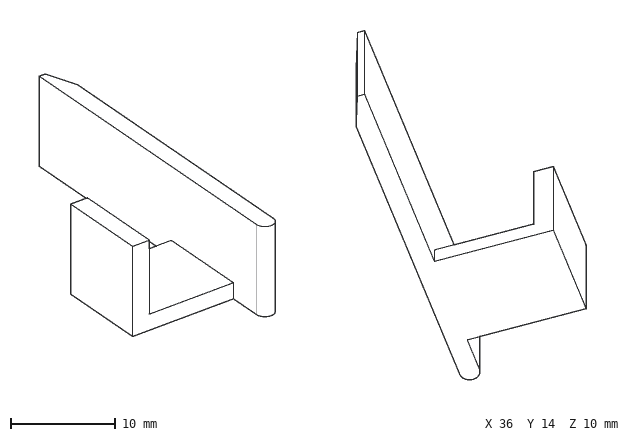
import cadquery as cq

length = 36.0
depth = 14.0
height = 10.0
floor = 1.8
hook_start = 21.28
hook_width = height
tip_thickness = 0.72
taper_length = 3.5

wall = height / 5
nose_radius = wall / 2
nose_start = length - nose_radius
hook_front = wall - depth

plate = (
    cq.Workplane("XY")
    .lineTo(nose_start, 0)
    .threePointArc((length, nose_radius), (nose_start, wall))
    .lineTo(taper_length, wall)
    .lineTo(0, tip_thickness)
    .close()
    .extrude(height)
)

hook = (
    cq.Workplane("YZ", origin=(hook_start, 0, 0))
    .lineTo(0, floor)
    .lineTo(hook_front + wall, floor)
    .lineTo(hook_front + wall, height)
    .lineTo(hook_front, height)
    .lineTo(hook_front, 0)
    .close()
    .extrude(hook_width)
)

result = plate.union(hook)